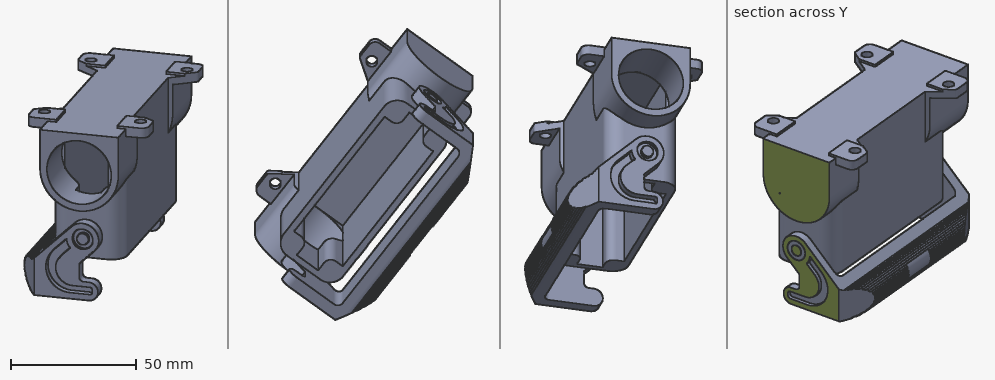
import cadquery as cq
import math


body_half_width = 14.8
body_half_length = 39.8
body_height = 56.0
body_corner_radius = 6.6

sleeve_radius = 16.3
sleeve_half_length = 50.5
sleeve_axis_z = -16.4
bore_radius = 13.4

tab_half_span = 25.0
tab_outer_y = 39.9
tab_inner_y = 27.3
tab_inner_x = 12.7
tab_gusset_y = 30.4
gusset_root_y = 23.3
tab_thickness = 3.1
pad_height = 1.0
tab_corner_radius = 3.0
tab_gusset_radius = 1.1
screw_hole_diameter = 4.5
screw_hole_x = 20.0
screw_hole_y = 32.0

cavity_half_width = 12.1
cavity_half_length = 30.0
cavity_ceiling_z = -2.7
slot_half_width = 5.3
slot_half_length = 37.3
slot_mouth_radius = 3.4

lever_half_length = 45.7
arm_thickness = 5.0
pivot_z = -46.3
pivot_radius = 6.7
pin_radius = 2.4
pin_embedding = 1.5
ring_radius = 4.25
ring_depth = 1.5
nose_radius = 7.0
nose_x = -22.0
nose_z = -65.0
crossbar_inner_x = -18.3
crossbar_corner_radius = 2.5
hook_radius = 3.9
hook_x = 2.5
throat_x = -1.4
throat_fillet = 1.8
nose_cut_x = -20.2
nose_cut_depth_y = 15.5

track_depth = 3.0
track_outer_radius = 10.0
track_outer_x = -5.3
track_outer_z = -59.4
track_inner_radius = 7.0
track_inner_x = -4.2
track_inner_z = -59.3
track_tip_x = 4.0
track_tip_radius = 1.0

rib_depth = 0.25
rib_angle = 7.5
first_groove_angle = 97.5
last_groove_angle = 262.5
plate_half_length = 7.65
plate_depth = 0.35
plate_start_angle = 142.5
plate_end_angle = 205.0

nose_bottom_z = nose_z - nose_radius
nose_top_z = nose_z + nose_radius
arm_inner_y = lever_half_length - arm_thickness

ramp_rise = pivot_z - nose_top_z
ramp_angle = math.atan2(ramp_rise, -nose_x) + math.asin(pivot_radius / math.hypot(nose_x, ramp_rise))
ramp_direction = (math.cos(ramp_angle), math.sin(ramp_angle))
ramp_normal = (-math.sin(ramp_angle), math.cos(ramp_angle))


def box(x_min, x_max, y_min, y_max, z_min, z_max):
    size = (x_max - x_min, y_max - y_min, z_max - z_min)
    return cq.Workplane("XY").box(*size, centered=False).translate((x_min, y_min, z_min))


def side_plane(y):
    """XZ sketch plane at the given Y; extruding goes toward -Y."""
    return cq.Workplane("XZ", origin=(0, y, 0))


def polar(center_x, center_z, radius, degrees):
    angle = math.radians(degrees)
    return (center_x + radius * math.cos(angle), center_z + radius * math.sin(angle))


def along_normal(center_x, center_z, distance):
    """Point offset from a centre, square to the lever ramp."""
    return (center_x + distance * ramp_normal[0], center_z + distance * ramp_normal[1])


def four_corners(shape):
    across = shape.union(shape.mirror("YZ"))
    return across.union(across.mirror("XZ"))


def make_body():
    body = box(-body_half_width, body_half_width, -body_half_length, body_half_length, -body_height, 0)
    return body.edges("|Z").fillet(body_corner_radius)


def make_sleeves():
    sleeve = (
        side_plane(sleeve_half_length)
        .moveTo(-sleeve_radius, 0)
        .lineTo(sleeve_radius, 0)
        .lineTo(sleeve_radius, sleeve_axis_z)
        .threePointArc((0, sleeve_axis_z - sleeve_radius), (-sleeve_radius, sleeve_axis_z))
        .close()
        .extrude(sleeve_half_length)
    )
    gusset_slope = (tab_gusset_y - gusset_root_y) / (tab_half_span - body_half_width)
    sleeve_end_y = gusset_root_y + gusset_slope * (sleeve_radius - body_half_width)
    plan = [
        (-sleeve_radius, sleeve_half_length),
        (-sleeve_radius, sleeve_end_y),
        (-body_half_width, gusset_root_y),
        (body_half_width, gusset_root_y),
        (sleeve_radius, sleeve_end_y),
        (sleeve_radius, sleeve_half_length),
    ]
    trim = cq.Workplane("XY").polyline(plan).close().extrude(-body_height)
    sleeve = sleeve.intersect(trim)
    return sleeve.union(sleeve.mirror("XZ"))


def make_tabs():
    plan = [
        (tab_inner_x, tab_outer_y),
        (tab_half_span, tab_outer_y),
        (tab_half_span, tab_gusset_y),
        (body_half_width, gusset_root_y),
        (tab_inner_x, gusset_root_y),
    ]
    tab = cq.Workplane("XY", origin=(0, 0, -tab_thickness)).polyline(plan).close()
    tab = tab.extrude(tab_thickness + pad_height)
    tab = tab.edges(cq.selectors.NearestToPointSelector((tab_half_span, tab_outer_y, 0)))
    tab = tab.fillet(tab_corner_radius)
    tab = tab.edges(cq.selectors.NearestToPointSelector((tab_half_span, tab_gusset_y, 0)))
    tab = tab.fillet(tab_gusset_radius)
    tab = tab.cut(box(0, tab_half_span, 0, tab_inner_y, 0, pad_height))
    return four_corners(tab)


def make_screw_holes():
    hole = cq.Workplane("XY", origin=(screw_hole_x, screw_hole_y, -tab_thickness))
    hole = hole.circle(screw_hole_diameter / 2).extrude(tab_thickness + pad_height)
    return four_corners(hole)


def make_cavity():
    """Main cavity, a narrow slot at each end and the blind bore of the -Y cable entry."""
    bottom = -body_height
    top = cavity_ceiling_z
    cavity = box(-cavity_half_width, cavity_half_width, -cavity_half_length, cavity_half_length, bottom, top)
    far_slot = box(-slot_half_width, slot_half_width, 0, slot_half_length, bottom, top)
    cavity = cavity.union(far_slot)
    near_slot = box(-slot_half_width, slot_half_width, -slot_half_length, 0, bottom, sleeve_axis_z)
    cavity = cavity.union(near_slot)
    for mouth_y in (-cavity_half_length, cavity_half_length):
        for mouth_x in (-slot_half_width, slot_half_width):
            mouth_edge = cq.selectors.NearestToPointSelector((mouth_x, mouth_y, (bottom + sleeve_axis_z) / 2))
            cavity = cavity.edges("|Z").edges(mouth_edge).fillet(slot_mouth_radius)
    bore = side_plane(-cavity_half_length).center(0, sleeve_axis_z).circle(bore_radius)
    bore = bore.extrude(sleeve_half_length - cavity_half_length)
    return cavity.union(bore)


def make_lever_blank():
    """Side profile of the lever, hollowed to leave two arms and a crossbar."""
    ramp_top = along_normal(0, pivot_z, pivot_radius)
    boss_bottom = along_normal(0, pivot_z, -pivot_radius)
    boss_side = (pivot_radius * ramp_direction[0], pivot_z + pivot_radius * ramp_direction[1])
    throat_z = boss_bottom[1] - (boss_bottom[0] - throat_x) * math.tan(ramp_angle)
    hook_z = nose_bottom_z + hook_radius
    lever = (
        side_plane(lever_half_length)
        .moveTo(nose_x, nose_top_z)
        .lineTo(*ramp_top)
        .threePointArc(boss_side, boss_bottom)
        .lineTo(throat_x, throat_z)
        .lineTo(throat_x, hook_z + hook_radius)
        .lineTo(hook_x, hook_z + hook_radius)
        .threePointArc((hook_x + hook_radius, hook_z), (hook_x, nose_bottom_z))
        .lineTo(nose_x, nose_bottom_z)
        .threePointArc((nose_x - nose_radius, nose_z), (nose_x, nose_top_z))
        .close()
        .extrude(2 * lever_half_length)
    )
    throat_corner = (throat_x, 0, hook_z + hook_radius)
    lever = lever.edges(cq.selectors.NearestToPointSelector(throat_corner)).fillet(throat_fillet)
    opening = box(crossbar_inner_x, tab_half_span, -arm_inner_y, arm_inner_y, nose_bottom_z, 0)
    opening = opening.edges("|Z and <X").fillet(crossbar_corner_radius)
    return lever.cut(opening)


def nose_band(start_angle, end_angle, half_length, depth):
    """Thin shell around the nose between two angles, reaching the given depth below its surface."""
    middle_angle = (start_angle + end_angle) / 2
    root_radius = nose_radius - depth
    outer_radius = nose_radius + depth
    return (
        side_plane(half_length)
        .moveTo(*polar(nose_x, nose_z, root_radius, start_angle))
        .lineTo(*polar(nose_x, nose_z, outer_radius, start_angle))
        .threePointArc(
            polar(nose_x, nose_z, outer_radius, middle_angle),
            polar(nose_x, nose_z, outer_radius, end_angle),
        )
        .lineTo(*polar(nose_x, nose_z, root_radius, end_angle))
        .threePointArc(
            polar(nose_x, nose_z, root_radius, middle_angle),
            polar(nose_x, nose_z, root_radius, start_angle),
        )
        .close()
        .extrude(2 * half_length)
    )


def cut_grip(lever):
    """Cut the rib grooves and the smooth plate, then bevel both nose ends."""
    groove_count = int((last_groove_angle - first_groove_angle) / (2 * rib_angle))
    for index in range(groove_count):
        start = first_groove_angle + 2 * rib_angle * index
        lever = lever.cut(nose_band(start, start + rib_angle, lever_half_length, rib_depth))
    plate = nose_band(plate_start_angle, plate_end_angle, plate_half_length, plate_depth)
    lever = lever.cut(plate)
    nose_tip_x = nose_x - nose_radius
    bevel = (
        cq.Workplane("XY", origin=(0, 0, nose_bottom_z))
        .moveTo(nose_cut_x, lever_half_length)
        .lineTo(nose_tip_x, lever_half_length)
        .lineTo(nose_tip_x, lever_half_length - nose_cut_depth_y)
        .close()
        .extrude(-nose_bottom_z)
    )
    return lever.cut(bevel).cut(bevel.mirror("XZ"))


def make_track():
    """Curved recess that sweeps from the pivot boss down into the hook."""
    run = 2 * pivot_radius
    outer_start = along_normal(track_outer_x, track_outer_z, track_outer_radius)
    inner_start = along_normal(track_inner_x, track_inner_z, track_inner_radius)
    track_bottom_z = track_outer_z - track_outer_radius
    track_top_z = track_inner_z - track_inner_radius
    track = (
        side_plane(lever_half_length)
        .moveTo(outer_start[0] + run * ramp_direction[0], outer_start[1] + run * ramp_direction[1])
        .lineTo(*outer_start)
        .threePointArc((track_outer_x - track_outer_radius, track_outer_z), (track_outer_x, track_bottom_z))
        .lineTo(track_tip_x, track_bottom_z)
        .lineTo(track_tip_x, track_top_z)
        .lineTo(track_inner_x, track_top_z)
        .threePointArc((track_inner_x - track_inner_radius, track_inner_z), inner_start)
        .lineTo(inner_start[0] + run * ramp_direction[0], inner_start[1] + run * ramp_direction[1])
        .close()
        .extrude(track_depth)
    )
    track = track.edges("|Y and >X").fillet(track_tip_radius)
    boss = side_plane(lever_half_length).center(0, pivot_z).circle(pivot_radius).extrude(track_depth)
    return track.cut(boss)


def make_lever():
    lever = cut_grip(make_lever_blank())
    track = make_track()
    ring = side_plane(lever_half_length).center(0, pivot_z).circle(ring_radius).extrude(ring_depth)
    pin_length = lever_half_length - body_half_length + pin_embedding
    pin = side_plane(lever_half_length).center(0, pivot_z).circle(pin_radius).extrude(pin_length)
    recesses = track.union(ring)
    lever = lever.cut(recesses).cut(recesses.mirror("XZ"))
    return lever.union(pin).union(pin.mirror("XZ"))


housing = make_body().union(make_sleeves()).union(make_tabs())
housing = housing.cut(make_cavity()).cut(make_screw_holes())
result = housing.union(make_lever())